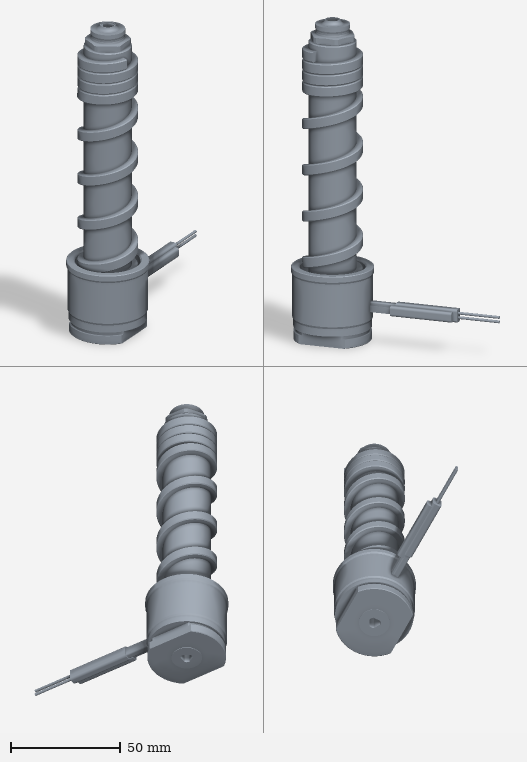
import cadquery as cq
import math

TOTAL_HEIGHT = 152.2

boss_height = 0.3
base_top = 4.6
groove_top = 6.4
ring_top = 10.0
body_bottom = 11.0
flange_bottom = 32.0
flange_step = 31.4
cap_top = 35.1
recess_floor = 24.5
tube_top = TOTAL_HEIGHT - 9.9
nut_bottom = TOTAL_HEIGHT - 9.5
nut_corner_top = TOTAL_HEIGHT - 6.9
nut_top = TOTAL_HEIGHT - 6.3
neck_flare_start = TOTAL_HEIGHT - 5.6
collar_cone_bottom = TOTAL_HEIGHT - 4.8
collar_bottom = TOTAL_HEIGHT - 3.9
collar_top = TOTAL_HEIGHT - 1.9
tip_waist = TOTAL_HEIGHT - 1.1

boss_radius = 7.0
base_radius = 18.0
groove_radius = 17.0
body_radius = 18.5
flange_radius = 19.0
recess_radius = 15.0
tube_radius = 11.0
neck_radius = 7.65
collar_radius = 8.0
tip_base_radius = 5.4
tip_waist_radius = 4.05
tip_radius = 3.5
spacer_radius = 9.0

base_flat_distance = 14.0
edge_chamfer = 0.3
tube_chamfer = 0.4
recess_chamfer = 0.6

nut_across_flats = 19.0
nut_corner_radius = 10.5

mouth_radius = 3.2
mouth_depth = 0.5
bore_inradius = 2.2
bore_corner_radius = 2.8

band_outer_radius = 13.9
band_overlap = 0.4
band_height = 4.9
band_chamfer = 0.4
tight_pitch = 5.33
open_pitch = 22.0
transition_angle = 144.0
upper_bend_angle = -90.0
upper_bend_height = TOTAL_HEIGHT - 32.2
open_sweep = 1392.6
upper_tight_sweep = 1150.0
lower_tight_sweep = 360.0
points_per_turn = 24

lead_x = -1.5
lead_z = 17.25
wire_end = 81.0
wire_diameter = 1.3
wire_spacing = 2.1
sleeve_start = 31.0
sleeve_length = 30.0
sleeve_width = 4.3
sleeve_height = 6.3
sleeve_fillet = 1.2
cable_width = 3.2
cable_height = 5.0
cable_fillet = 0.75
clip_shift = 2.0
clip_left = -0.3
clip_right = 2.7
clip_bottom = 14.4
clip_top = 19.2
clip_fillet = 1.2
strip_right = 0.75
strip_bottom = 15.0
strip_top = 18.0


def turned(points):
    """Solid of revolution about Z from (radius, height) points."""
    return cq.Workplane("XZ").polyline(points).close().revolve(360, (0, 0, 0), (0, 1, 0))


def cap():
    """Stepped cap with a flatted base and an open spring recess."""
    body = turned([
        (0, 0),
        (boss_radius, 0),
        (boss_radius, boss_height),
        (base_radius - edge_chamfer, boss_height),
        (base_radius, boss_height + edge_chamfer),
        (base_radius, base_top),
        (groove_radius, base_top),
        (groove_radius, groove_top),
        (base_radius, groove_top),
        (base_radius, ring_top),
        (body_radius, body_bottom),
        (body_radius, flange_step),
        (flange_radius, flange_bottom + edge_chamfer),
        (flange_radius, cap_top - edge_chamfer),
        (flange_radius - edge_chamfer, cap_top),
        (recess_radius + recess_chamfer, cap_top),
        (recess_radius, cap_top - recess_chamfer),
        (recess_radius, recess_floor),
        (0, recess_floor),
    ])
    for side in (-1, 1):
        waste_width = base_radius
        waste = cq.Workplane("XY").box(waste_width, 2 * base_radius, groove_top, centered=(True, True, False))
        body = body.cut(waste.translate((side * (base_flat_distance + waste_width / 2), 0, 0)))
    return body


def tube_and_collar():
    """Tube carrying the nut spacer, the flared neck and the collar."""
    return turned([
        (0, recess_floor),
        (tube_radius, recess_floor),
        (tube_radius, tube_top - tube_chamfer),
        (tube_radius - tube_chamfer, tube_top),
        (spacer_radius, tube_top),
        (spacer_radius, nut_bottom),
        (collar_radius, nut_bottom),
        (collar_radius, nut_top),
        (neck_radius, neck_flare_start),
        (neck_radius, collar_cone_bottom),
        (collar_radius, collar_bottom),
        (collar_radius, collar_top),
        (0, collar_top),
    ])


def tip():
    """Hollow-sided round tip standing on the collar."""
    return (
        cq.Workplane("XZ")
        .moveTo(0, collar_top)
        .lineTo(tip_base_radius, collar_top)
        .threePointArc((tip_waist_radius, tip_waist), (tip_radius, TOTAL_HEIGHT))
        .lineTo(0, TOTAL_HEIGHT)
        .close()
        .revolve(360, (0, 0, 0), (0, 1, 0))
    )


def nut():
    """Hexagon with flats on +X and -X, rounded corners and a conical top."""
    hexagon = (
        cq.Workplane("XY", origin=(0, 0, nut_bottom))
        .polygon(6, nut_across_flats, circumscribed=True)
        .extrude(nut_top - nut_bottom)
    )
    envelope = turned([
        (0, nut_bottom),
        (nut_corner_radius, nut_bottom),
        (nut_corner_radius, nut_corner_top),
        (collar_radius, nut_top),
        (0, nut_top),
    ])
    return hexagon.intersect(envelope)


def transition_drop(angle):
    """Fall of the band in a transition, whose pitch grows evenly from tight to open."""
    growth = (open_pitch - tight_pitch) * angle / transition_angle
    return (tight_pitch + growth / 2) * angle / 360


def drop_from_upper_bend(angle):
    """Fall of the band's middle line after winding down by an angle from the upper bend."""
    if angle <= 0:
        return tight_pitch * angle / 360
    if angle <= transition_angle:
        return transition_drop(angle)
    upper_drop = transition_drop(transition_angle)
    if angle <= open_sweep:
        return upper_drop + open_pitch * (angle - transition_angle) / 360
    open_drop = upper_drop + open_pitch * (open_sweep - transition_angle) / 360
    remaining = transition_angle - (angle - open_sweep)
    if remaining >= 0:
        return open_drop + upper_drop - transition_drop(remaining)
    return open_drop + upper_drop - tight_pitch * remaining / 360


def band_point(angle):
    """Point of the band's middle line on its outer cylinder."""
    turn = math.radians(upper_bend_angle - angle)
    return cq.Vector(
        band_outer_radius * math.cos(turn),
        band_outer_radius * math.sin(turn),
        upper_bend_height - drop_from_upper_bend(angle),
    )


def spring():
    """Band swept upright along the varying-pitch helix."""
    last_angle = open_sweep + transition_angle + lower_tight_sweep
    sweep_angle = upper_tight_sweep + last_angle
    count = math.ceil(sweep_angle / 360 * points_per_turn)
    angles = [last_angle - sweep_angle * i / count for i in range(count + 1)]
    path = cq.Workplane("XY").newObject([cq.Edge.makeSpline([band_point(a) for a in angles])])

    start = band_point(last_angle)
    outward = cq.Vector(start.x, start.y, 0).normalized()
    depth = band_outer_radius - tube_radius + band_overlap
    half = band_height / 2
    section_plane = cq.Plane(origin=start, xDir=outward, normal=outward.cross(cq.Vector(0, 0, 1)))
    section = cq.Workplane(section_plane).polyline([
        (-depth, -half),
        (-band_chamfer, -half),
        (0, band_chamfer - half),
        (0, half - band_chamfer),
        (-band_chamfer, half),
        (-depth, half),
    ]).close()
    return section.sweep(path, isFrenet=True)


def bar(left, right, bottom, top, start, end):
    """Rectangular bar running along Y."""
    return cq.Workplane("XY").box(right - left, end - start, top - bottom, centered=False).translate(
        (left, start, bottom)
    )


def rounded_bar(width, height, fillet, start, end):
    """Bar centred on the lead with its four long edges rounded."""
    block = bar(lead_x - width / 2, lead_x + width / 2, lead_z - height / 2, lead_z + height / 2, start, end)
    return block.edges("|Y").fillet(fillet)


def lead():
    """Cable, sleeve, side clip with its strip, and two bare wires."""
    inside = groove_radius
    sleeve_end = sleeve_start + sleeve_length
    clip_start = sleeve_start - clip_shift
    parts = rounded_bar(cable_width, cable_height, cable_fillet, inside, sleeve_end)
    parts = parts.union(rounded_bar(sleeve_width, sleeve_height, sleeve_fillet, sleeve_start, sleeve_end))
    clip = bar(clip_left, clip_right, clip_bottom, clip_top, clip_start, clip_start + sleeve_length)
    parts = parts.union(clip.edges("|Y and >X").fillet(clip_fillet))
    parts = parts.union(bar(lead_x, strip_right, strip_bottom, strip_top, inside, sleeve_end))
    for side in (-1, 1):
        wire = (
            cq.Workplane("XZ", origin=(lead_x, sleeve_start, lead_z + side * wire_spacing / 2))
            .circle(wire_diameter / 2)
            .extrude(sleeve_start - wire_end)
        )
        parts = parts.union(wire)
    return parts


def passage():
    """Three-sided bore through the whole part, with a flat on +Y, opening into a round mouth."""
    triangle = (
        cq.Workplane("XY")
        .polygon(3, 2 * bore_inradius, circumscribed=True)
        .extrude(TOTAL_HEIGHT)
        .rotate((0, 0, 0), (0, 0, 1), 90)
    )
    bore = triangle.intersect(cq.Workplane("XY").circle(bore_corner_radius).extrude(TOTAL_HEIGHT))
    mouth = cq.Workplane("XY", origin=(0, 0, TOTAL_HEIGHT)).circle(mouth_radius).extrude(-mouth_depth)
    return bore.union(mouth)


result = (
    cap()
    .union(tube_and_collar())
    .union(tip())
    .union(nut())
    .union(lead())
    .union(spring())
    .cut(passage())
)